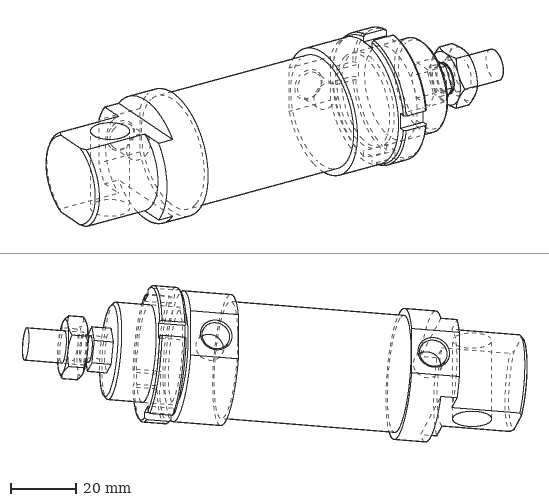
import cadquery as cq
import math


EYE_HOLE_Y = 14.3
BOSS_END = 22.2
FLAT_END = 27.3
REAR_PORT_Y = 30.2
REAR_CAP_END = 37.1
FRONT_CAP_START = 91.3
FRONT_PORT_Y = 98.3
FRONT_CAP_END = 106.3
RING_START = 108.0
RING_LENGTH = 8.3
HOUSING_END = 128.0
HEX_END = 134.0
NUT_START = 136.1
NUT_LENGTH = 6.2
ROD_END = 154.0

TUBE_DIAMETER = 36.0
CAP_DIAMETER = 40.3
NECK_DIAMETER = 30.0
END_CHAMFER = 1.0
EYE_THICKNESS = 26.0
EYE_HOLE_DIAMETER = 12.0
PORT_FACE_X = -18.8
PORT_DIAMETER = 8.6
PORT_CHAMFER = 0.6
PORT_DEPTH = 10.0

RING_DIAMETER = 42.0
RING_CHAMFER = 0.6
RING_SLOT_WIDTH = 5.0
RING_SLOT_FLOOR = 18.5
RING_SLOT_COUNT = 4

ROD_DIAMETER = 10.0
UNDERCUT_DIAMETER = 8.2
FLARE_RADIUS = 2.2
ROD_HEX_FLATS = 12.0
NUT_FLATS = 17.0
NUT_CHAMFER_ANGLE = 30.0


def corners(across_flats):
    """Across-corners size of a hexagon."""
    return across_flats * 2 / math.sqrt(3)


def plane_at(y):
    """Workplane at the given Y, facing +Y, with its own X along the part's X."""
    return cq.Workplane(cq.Plane(origin=(0, y, 0), xDir=(1, 0, 0), normal=(0, 1, 0)))


def cylinder(diameter, start, end):
    return plane_at(start).circle(diameter / 2).extrude(end - start)


def hexagon(across_flats, start, end):
    """Hexagonal prism with flats facing +Z and -Z."""
    return plane_at(start).polygon(6, corners(across_flats)).extrude(end - start)


def make_cap(start, end):
    """End cap: a disc with a port flat on its -X side."""
    disc = cylinder(CAP_DIAMETER, start, end)
    waste = cq.Workplane("XY").box(
        CAP_DIAMETER, end - start, CAP_DIAMETER, centered=(True, False, True)
    )
    return disc.cut(waste.translate((PORT_FACE_X - CAP_DIAMETER / 2, start, 0)))


def make_port(y):
    """Blind port cutter with a countersunk mouth, running in +X from the port flat."""
    radius = PORT_DIAMETER / 2
    mouth = radius + PORT_CHAMFER
    profile = [
        (0, 0),
        (0, mouth),
        (PORT_CHAMFER, radius),
        (PORT_DEPTH, radius),
        (PORT_DEPTH, 0),
    ]
    cutter = cq.Workplane("XY").polyline(profile).close().revolve(360, (0, 0), (1, 0))
    return cutter.translate((PORT_FACE_X, y, 0))


def make_housing():
    boss = cylinder(NECK_DIAMETER, 0, BOSS_END).faces("<Y").chamfer(END_CHAMFER)
    neck = cylinder(NECK_DIAMETER, FRONT_CAP_END, HOUSING_END).faces(">Y").chamfer(END_CHAMFER)
    housing = (
        cylinder(TUBE_DIAMETER, REAR_CAP_END, FRONT_CAP_START)
        .union(make_cap(BOSS_END, REAR_CAP_END))
        .union(make_cap(FRONT_CAP_START, FRONT_CAP_END))
        .union(boss)
        .union(neck)
    )

    for side in (1, -1):
        waste = cq.Workplane("XY").box(
            CAP_DIAMETER, FLAT_END, CAP_DIAMETER, centered=(True, False, True)
        )
        housing = housing.cut(waste.translate((0, 0, side * (EYE_THICKNESS + CAP_DIAMETER) / 2)))

    pivot = cq.Workplane("XY").center(0, EYE_HOLE_Y).circle(EYE_HOLE_DIAMETER / 2)
    housing = housing.cut(pivot.extrude(EYE_THICKNESS, both=True))

    for port_y in (REAR_PORT_Y, FRONT_PORT_Y):
        housing = housing.cut(make_port(port_y))
    return housing


def make_ring_nut():
    """Slotted round nut on the front neck."""
    end = RING_START + RING_LENGTH
    ring = cylinder(RING_DIAMETER, RING_START, end).faces("<Y or >Y").chamfer(RING_CHAMFER)
    ring = ring.cut(cylinder(NECK_DIAMETER, RING_START, end))
    slot = (
        cq.Workplane("XY")
        .box(RING_DIAMETER, RING_LENGTH, RING_SLOT_WIDTH, centered=(False, False, True))
        .translate((RING_SLOT_FLOOR, RING_START, 0))
    )
    for index in range(RING_SLOT_COUNT):
        angle = index * 360 / RING_SLOT_COUNT
        ring = ring.cut(slot.rotate((0, 0, 0), (0, 1, 0), angle))
    return ring


def make_rod():
    """Exposed piston rod: wrench hexagon, flared undercut and plain end."""
    rod_radius = ROD_DIAMETER / 2
    undercut_radius = UNDERCUT_DIAMETER / 2
    step = rod_radius - undercut_radius
    half_step = step / 2

    def flare_y(height):
        return HEX_END + math.sqrt(FLARE_RADIUS**2 - (FLARE_RADIUS - height) ** 2)

    shank = (
        cq.Workplane("XY")
        .moveTo(0, HEX_END)
        .lineTo(undercut_radius, HEX_END)
        .threePointArc((undercut_radius + half_step, flare_y(half_step)), (rod_radius, flare_y(step)))
        .lineTo(rod_radius, ROD_END)
        .lineTo(0, ROD_END)
        .close()
        .revolve(360, (0, 0), (0, 1))
    )
    return hexagon(ROD_HEX_FLATS, HOUSING_END, HEX_END).union(shank)


def make_lock_nut():
    """Hexagon nut with its corners chamfered on both sides."""
    end = NUT_START + NUT_LENGTH
    width = corners(NUT_FLATS)
    radial = (width - NUT_FLATS) / 2
    axial = radial * math.tan(math.radians(NUT_CHAMFER_ANGLE))
    half_profile = [
        (0, NUT_START),
        (NUT_FLATS / 2, NUT_START),
        (width / 2, NUT_START + axial),
        (width / 2, end - axial),
        (NUT_FLATS / 2, end),
        (0, end),
    ]
    envelope = cq.Workplane("XY").polyline(half_profile).close().revolve(360, (0, 0), (0, 1))
    nut = hexagon(NUT_FLATS, NUT_START, end).intersect(envelope)
    return nut.cut(cylinder(ROD_DIAMETER, NUT_START, end))


housing = make_housing()
ring_nut = make_ring_nut()
rod = make_rod()
lock_nut = make_lock_nut()

result = cq.Compound.makeCompound([housing.val(), ring_nut.val(), rod.val(), lock_nut.val()])